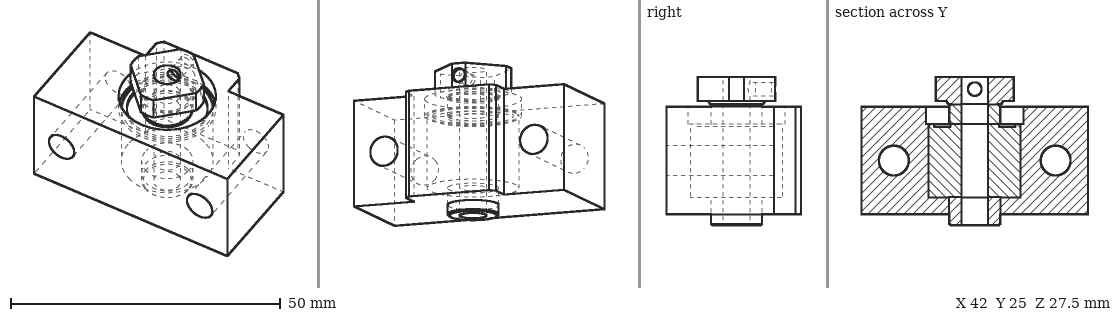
import cadquery as cq

LENGTH = 42.0
HEIGHT = 20.0
BLOCK_DEPTH = 20.0
FRONT_TO_AXIS = 13.0
OVERALL_DEPTH = 25.0
BOSS_WIDTH = 18.0
BOSS_CHAMFER = 1.0
MOUNT_HOLE_DIAMETER = 5.5
MOUNT_HOLE_SPACING = 30.0

FRONT_Y = -FRONT_TO_AXIS
BLOCK_BACK_Y = FRONT_Y + BLOCK_DEPTH
BOSS_BACK_Y = FRONT_Y + OVERALL_DEPTH

RECESS_DIAMETER = BOSS_WIDTH
RECESS_DEPTH = 3.2

BEARING_DIAMETER = 17.0
BEARING_TOP_Z = HEIGHT - RECESS_DEPTH
BEARING_BASE_Z = RECESS_DEPTH
BEARING_FILLET = 0.3
RIM_INNER_DIAMETER = 15.0
RIM_HEIGHT = 0.5
INNER_RING_DIAMETER = 9.07

SHAFT_BORE_DIAMETER = 5.0
SLEEVE_DIAMETER = 9.5
SLEEVE_CHAMFER = 0.3
COLLAR_PROJECTION = 2.0

NUT_TOP_Z = 25.5
NUT_THICKNESS = 4.5
NUT_ACROSS_FLATS = 12.0
NUT_CORNER_DIAMETER = 14.5
NUT_SEAT_DIAMETER = 10.6
NUT_SEAT_TIP_DIAMETER = 9.83
NUT_SEAT_HEIGHT = 0.55

SET_SCREW_DIAMETER = 2.5
SET_SCREW_TIP_Y = 3.5
SET_SCREW_LENGTH = 3.0

NUT_BASE_Z = NUT_TOP_Z - NUT_THICKNESS
NUT_SEAT_Z = NUT_BASE_Z - NUT_SEAT_HEIGHT


def cylinder(diameter, base_z, top_z):
    """Upright cylinder on the shaft axis."""
    return cq.Workplane("XY", origin=(0, 0, base_z)).circle(diameter / 2).extrude(top_z - base_z)


def shaft_bore(base_z, top_z):
    return cylinder(SHAFT_BORE_DIAMETER, base_z, top_z)


def make_sleeve(base_z, top_z, outer_end):
    """Plain ring around the shaft, chamfered at the end facing away from the bearing."""
    sleeve = cylinder(SLEEVE_DIAMETER, base_z, top_z).faces(outer_end).edges().chamfer(SLEEVE_CHAMFER)
    return sleeve.cut(shaft_bore(base_z, top_z))


def make_bearing():
    bearing = cylinder(BEARING_DIAMETER, BEARING_BASE_Z, BEARING_TOP_Z)
    bearing = bearing.faces(">Z").edges().fillet(BEARING_FILLET)
    bearing = bearing.cut(cylinder(RIM_INNER_DIAMETER, BEARING_TOP_Z - RIM_HEIGHT, BEARING_TOP_Z))
    bearing = bearing.union(cylinder(INNER_RING_DIAMETER, BEARING_BASE_Z, BEARING_TOP_Z))
    return bearing.cut(shaft_bore(BEARING_BASE_Z, BEARING_TOP_Z))


def make_housing():
    block_center_y = (FRONT_Y + BLOCK_BACK_Y) / 2
    block = cq.Workplane("XY").center(0, block_center_y).rect(LENGTH, BLOCK_DEPTH).extrude(HEIGHT)

    boss_center_y = BOSS_BACK_Y / 2
    boss = cq.Workplane("XY").center(0, boss_center_y).rect(BOSS_WIDTH, BOSS_BACK_Y).extrude(HEIGHT)
    boss = boss.faces(">Y").edges("|Z").chamfer(BOSS_CHAMFER)
    housing = block.union(boss)

    for x in (-MOUNT_HOLE_SPACING / 2, MOUNT_HOLE_SPACING / 2):
        hole = cq.Workplane("XZ", origin=(x, BLOCK_BACK_Y, HEIGHT / 2))
        housing = housing.cut(hole.circle(MOUNT_HOLE_DIAMETER / 2).extrude(BLOCK_DEPTH))

    housing = housing.cut(cylinder(RECESS_DIAMETER, BEARING_TOP_Z, HEIGHT))
    housing = housing.cut(cylinder(BEARING_DIAMETER, BEARING_BASE_Z, BEARING_TOP_Z))
    return housing.cut(cylinder(SLEEVE_DIAMETER, 0, BEARING_BASE_Z))


def make_nut():
    square = cq.Workplane("XY", origin=(0, 0, NUT_BASE_Z)).transformed(rotate=(0, 0, 45))
    nut = square.rect(NUT_ACROSS_FLATS, NUT_ACROSS_FLATS).extrude(NUT_THICKNESS)
    nut = nut.intersect(cylinder(NUT_CORNER_DIAMETER, NUT_BASE_Z, NUT_TOP_Z))

    seat = cq.Workplane("XY", origin=(0, 0, NUT_BASE_Z)).circle(NUT_SEAT_DIAMETER / 2)
    seat = seat.workplane(offset=-NUT_SEAT_HEIGHT).circle(NUT_SEAT_TIP_DIAMETER / 2).loft()
    nut = nut.union(seat).cut(shaft_bore(NUT_SEAT_Z, NUT_TOP_Z))

    return nut.cut(set_screw_rod(0, NUT_CORNER_DIAMETER / 2))


def set_screw_rod(start_y, end_y):
    """Cylinder along +Y at mid height of the nut."""
    middle_z = (NUT_BASE_Z + NUT_TOP_Z) / 2
    start = cq.Workplane("XZ", origin=(0, start_y, middle_z))
    return start.circle(SET_SCREW_DIAMETER / 2).extrude(start_y - end_y)


housing = make_housing()
bearing = make_bearing()
collar = make_sleeve(-COLLAR_PROJECTION, BEARING_BASE_Z, "<Z")
spacer = make_sleeve(BEARING_TOP_Z, NUT_SEAT_Z, ">Z")
nut = make_nut()
set_screw = set_screw_rod(SET_SCREW_TIP_Y, SET_SCREW_TIP_Y + SET_SCREW_LENGTH)

result = cq.Compound.makeCompound(
    [housing.val(), bearing.val(), collar.val(), spacer.val(), nut.val(), set_screw.val()]
)